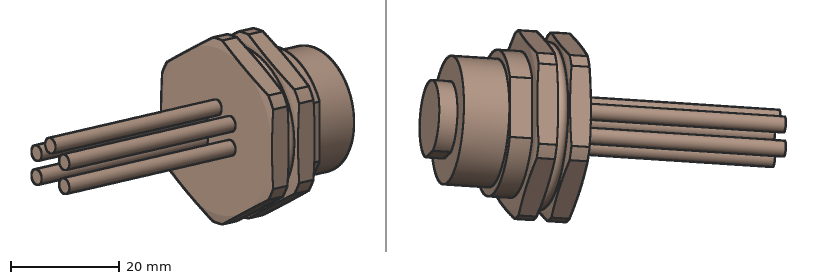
import cadquery as cq
import math


wire_length = 39.95
wire_diameter = 3.0
wire_circle_radius = 4.6
wire_angles = [-30, 30, 90, 150, 210]

hex_across_flats = 32.0
hex_across_corners = 35.4
hex_thickness = 4.0
hex_chamfer_depth = 0.25

ring_outer_diameter = 31.3
ring_thickness = 2.25

collar_diameter = 27.2
collar_across_flats = 24.65
collar_length = 4.25

sleeve_diameter = 23.85
sleeve_length = 8.65
insert_diameter = 14.4
insert_length = 3.45
insert_flat_distance = 6.7

flange_start = wire_length
flange_end = flange_start + hex_thickness
nut_start = flange_end + ring_thickness
nut_end = nut_start + hex_thickness
collar_end = nut_end + collar_length
sleeve_end = collar_end + sleeve_length

ring_minor_radius = ring_thickness / 2
ring_major_radius = ring_outer_diameter / 2 - ring_minor_radius
ring_middle = flange_end + ring_minor_radius
neck_diameter = 2 * (ring_major_radius - ring_minor_radius)


def section_at(y):
    """Workplane across the axis at y, with local x = -X, local y = Z and extrusion toward +Y."""
    return cq.Workplane("XZ", origin=(0, y, 0)).transformed(rotate=(0, 180, 0))


def cylinder(start, length, diameter):
    return section_at(start).circle(diameter / 2).extrude(length)


def hexagon(start):
    """Hexagon with a corner up, rounded corners, and conical chamfers on both faces."""
    corner_radius = hex_across_corners / 2
    face_radius = hex_across_flats / 2
    prism = (
        section_at(start)
        .transformed(rotate=(0, 0, 90))
        .polygon(6, hex_across_flats / math.cos(math.pi / 6))
        .extrude(hex_thickness)
    )
    end = start + hex_thickness
    envelope = (
        cq.Workplane("XY")
        .polyline([
            (0, start),
            (face_radius, start),
            (corner_radius, start + hex_chamfer_depth),
            (corner_radius, end - hex_chamfer_depth),
            (face_radius, end),
            (0, end),
        ])
        .close()
        .revolve(360, (0, 0, 0), (0, 1, 0))
    )
    return prism.intersect(envelope)


def flatted_collar():
    round_collar = cylinder(nut_end, collar_length, collar_diameter)
    flats = section_at(nut_end).rect(collar_across_flats, collar_diameter).extrude(collar_length)
    return round_collar.intersect(flats)


def socket_insert():
    """Round insert with one flat along its -Z side."""
    radius = insert_diameter / 2
    height = radius + insert_flat_distance
    kept_part = (
        section_at(sleeve_end)
        .center(0, radius - height / 2)
        .rect(insert_diameter, height)
        .extrude(insert_length)
    )
    return cylinder(sleeve_end, insert_length, insert_diameter).intersect(kept_part)


def wire(angle):
    x = wire_circle_radius * math.cos(math.radians(angle))
    z = wire_circle_radius * math.sin(math.radians(angle))
    return cylinder(0, wire_length, wire_diameter).translate((x, 0, z))


def make_connector():
    """Wires, flange, neck, nut, collar, sleeve and insert as one solid."""
    connector = (
        hexagon(flange_start)
        .union(cylinder(flange_end, ring_thickness, neck_diameter))
        .union(hexagon(nut_start))
        .union(flatted_collar())
        .union(cylinder(collar_end, sleeve_length, sleeve_diameter))
        .union(socket_insert())
    )
    for angle in wire_angles:
        connector = connector.union(wire(angle))
    return connector.solids()


def make_sealing_ring():
    """Round-section ring that touches the neck and both hexagons."""
    return cq.Workplane(
        cq.Solid.makeTorus(
            ring_major_radius,
            ring_minor_radius,
            cq.Vector(0, ring_middle, 0),
            cq.Vector(0, 1, 0),
        )
    )


connector = make_connector()
sealing_ring = make_sealing_ring()

result = cq.Compound.makeCompound([connector.val(), sealing_ring.val()])